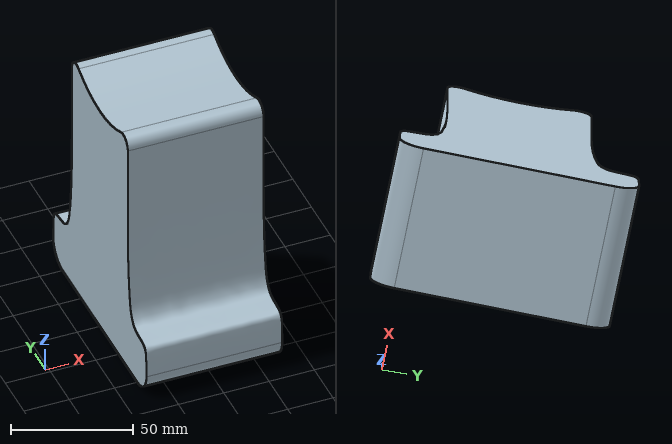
import cadquery as cq
import math

width = 60.0
height = 117.7
base_half_depth = 49.96
neck_half_depth = 30.0
foot_radius = 10.0
tip_radius = 5.0
saddle_radius = 50.0

flank_points = [
    (49.8, 18.5),
    (49.3, 21.9),
    (48.0, 23.8),
    (45.4, 24.7),
    (40.3, 25.3),
    (37.0, 26.4),
    (34.7, 28.7),
    (33.1, 32.4),
    (32.0, 38.0),
    (31.1, 46.4),
    (30.5, 54.8),
    (30.1, 65.9),
    (neck_half_depth, 88.3),
    (neck_half_depth, height - tip_radius),
]

tip_y = neck_half_depth - tip_radius
tip_z = height - tip_radius
lean = math.asin(tip_y / (saddle_radius + tip_radius))
saddle_edge_y = saddle_radius * math.sin(lean)
saddle_edge_z = tip_z + tip_radius * math.cos(lean)
saddle_bottom_z = tip_z + (saddle_radius + tip_radius) * math.cos(lean) - saddle_radius

tip_mid_angle = (math.pi / 2 + lean) / 2
tip_mid = (
    tip_y + tip_radius * math.cos(tip_mid_angle),
    tip_z + tip_radius * math.sin(tip_mid_angle),
)

foot_inset = foot_radius * (1 - math.sqrt(0.5))
foot_mid = (base_half_depth - foot_inset, foot_inset)

half_profile = (
    cq.Workplane("YZ", origin=(-width / 2, 0, 0))
    .lineTo(base_half_depth - foot_radius, 0)
    .threePointArc(foot_mid, (base_half_depth, foot_radius))
    .spline(flank_points, tangents=[(0, 1), (0, 1)], includeCurrent=True)
    .threePointArc(tip_mid, (saddle_edge_y, saddle_edge_z))
    .radiusArc((0, saddle_bottom_z), saddle_radius)
    .close()
)

half_body = half_profile.extrude(width)
result = half_body.union(half_body.mirror("XZ")).clean()